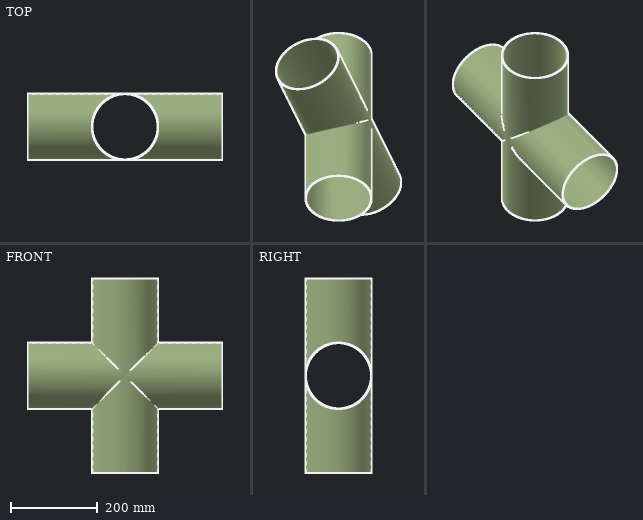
import cadquery as cq
import math

length = 450.0
outer_diameter = 154.5
inner_diameter = 150.0
crotch_fillet = 2.2

outer_radius = outer_diameter / 2
patch_half_width = outer_radius / 2
patch_depth = math.sqrt(outer_radius**2 - patch_half_width**2)


def crossed_cylinders(diameter):
    """Two equal full-length cylinders along X and Z, crossing at the origin."""
    radius = diameter / 2
    along_x = cq.Workplane("YZ").circle(radius).extrude(length / 2, both=True)
    along_z = cq.Workplane("XY").circle(radius).extrude(length / 2, both=True)
    return along_x.union(along_z)


def filleted_band(body):
    """The part of the body between the two patches, with its four crotch seams filleted."""
    slab = cq.Workplane("XY").box(length, 2 * patch_depth, length)
    return body.intersect(slab).edges("%ELLIPSE").fillet(crotch_fillet)


outside = crossed_cylinders(outer_diameter)
outside = outside.union(filleted_band(outside))

result = outside.cut(crossed_cylinders(inner_diameter))